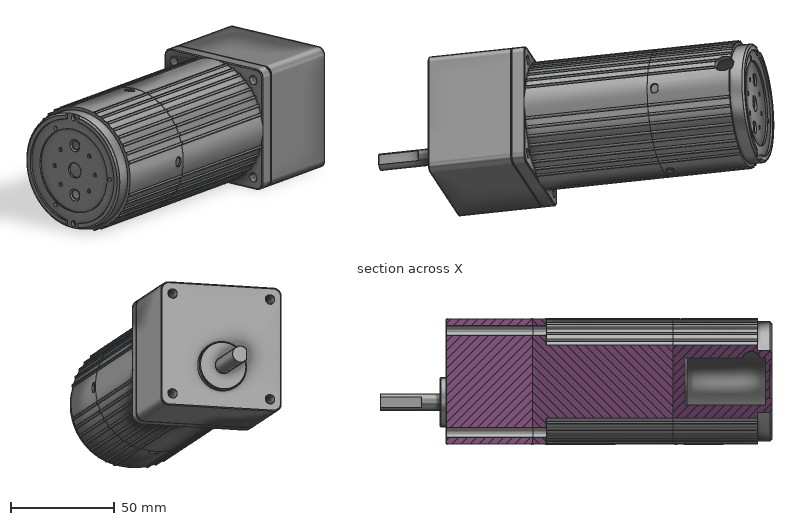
import cadquery as cq
import math


frame_size = 61.0
corner_radius = 4.0
edge_chamfer = 0.5
mount_hole_offset = 24.7
mount_hole_diameter = 4.5

gearhead_length = 42.0
shaft_offset = 10.0
shaft_diameter = 8.0
shaft_length = 32.0
shaft_flat_length = 20.0
shaft_flat_depth = 1.0
boss_diameter = 24.0
boss_length = 3.0
boss_chamfer = 0.5

flange_length = 6.6
flange_chamfer = 0.5
body_diameter = frame_size
motor_length = 68.0
brake_length = 41.0
rib_diameter = 1.3
rib_pitch = 8.4
ribs_per_quadrant = 8

cap_length = 7.0
cap_diameter = 58.0
cap_chamfer = 1.0
rim_inner_diameter = 52.0
rim_height = 1.1
rim_slot_width = 7.6
rim_hole_offset = 26.8
rim_hole_diameter = 2.8
rim_hole_depth = 1.9
recess_diameter = 41.8
recess_depth = 1.0
cavity_diameter = 54.3
end_wall = 1.1
front_wall = 5.9
inner_disc_diameter = 44.8
inner_disc_height = 1.0
centre_hole_diameter = 7.6
bolt_circle_radius = 12.5
large_hole_diameter = 4.5
large_hole_chamfer = 0.8
small_hole_diameter = 1.9
outer_circle_radius = 22.5

wire_hole_diameter = 9.0
wire_hole_height = 10.0
wire_hole_setback = 3.0
pocket_length = 5.0
pocket_width = 3.6
pocket_depth = 1.0
pocket_setback = 3.6

flange_front = -gearhead_length
brake_front = flange_front - motor_length
fins_end = brake_front - brake_length
cap_end = fins_end - cap_length
recess_floor = cap_end + rim_height + recess_depth


def rod(diameter, y_front, length, x=0, z=0):
    """Cylinder along Y that runs from y_front towards -Y."""
    start = cq.Vector(x, y_front, z)
    return cq.Workplane(cq.Solid.makeCylinder(diameter / 2, length, start, cq.Vector(0, -1, 0)))


def frame_block(y_front, length):
    """Square block with rounded corners that runs from y_front towards -Y."""
    profile = cq.Workplane("XZ", origin=(0, y_front, 0)).rect(frame_size, frame_size)
    return profile.extrude(length).edges("|Y").fillet(corner_radius)


def drill_mount_holes(body, y_front, length):
    for x in (-mount_hole_offset, mount_hole_offset):
        for z in (-mount_hole_offset, mount_hole_offset):
            body = body.cut(rod(mount_hole_diameter, y_front, length, x, z))
    return body


def ribbed_body(y_front, length):
    """Round housing with lengthwise half-round cooling ribs in each quadrant."""
    body = rod(body_diameter, y_front, length)
    first_angle = 45 - rib_pitch * (ribs_per_quadrant - 1) / 2
    for quadrant in range(4):
        for index in range(ribs_per_quadrant):
            angle = math.radians(90 * quadrant + first_angle + rib_pitch * index)
            x = body_diameter / 2 * math.cos(angle)
            z = body_diameter / 2 * math.sin(angle)
            body = body.union(rod(rib_diameter, y_front, length, x, z))
    return body


def make_gearhead():
    block = frame_block(0, gearhead_length).faces("<Y or >Y").chamfer(edge_chamfer)
    boss = rod(boss_diameter, boss_length, boss_length, z=-shaft_offset).faces(">Y").chamfer(boss_chamfer)
    shaft = rod(shaft_diameter, shaft_length, shaft_length, z=-shaft_offset)
    flat = cq.Workplane("XY").box(shaft_diameter, shaft_flat_length, shaft_diameter).translate(
        (shaft_flat_depth - shaft_diameter, shaft_length - shaft_flat_length / 2, -shaft_offset)
    )
    gearhead = block.union(boss).union(shaft.cut(flat))
    return drill_mount_holes(gearhead, 0, gearhead_length)


def make_motor():
    flange = frame_block(flange_front, flange_length).faces("<Y").chamfer(flange_chamfer)
    flange = drill_mount_holes(flange, flange_front, flange_length)
    housing_front = flange_front - flange_length / 2
    return flange.union(ribbed_body(housing_front, motor_length - flange_length / 2))


def cut_rim(brake):
    """Raised rim with two slots, around the stepped end face."""
    brake = brake.cut(rod(rim_inner_diameter, cap_end + rim_height, rim_height))
    slots = cq.Workplane("XY").box(rim_slot_width, rim_height, body_diameter)
    brake = brake.cut(slots.translate((0, cap_end + rim_height / 2, 0)))
    for z in (-rim_hole_offset, rim_hole_offset):
        hole_front = cap_end + rim_height + rim_hole_depth
        brake = brake.cut(rod(rim_hole_diameter, hole_front, rim_hole_depth, z=z))
    return brake.cut(rod(recess_diameter, recess_floor, recess_depth))


def drill_end_wall(brake):
    wall_front = recess_floor + end_wall
    depth = wall_front - cap_end
    brake = brake.cut(rod(centre_hole_diameter, wall_front, depth))
    for index in range(8):
        angle = math.radians(45 * index)
        x = bolt_circle_radius * math.cos(angle)
        z = bolt_circle_radius * math.sin(angle)
        if index in (2, 6):
            brake = brake.cut(rod(large_hole_diameter, wall_front, depth, x, z))
            cone = cq.Solid.makeCone(
                large_hole_diameter / 2,
                large_hole_diameter / 2 + large_hole_chamfer,
                large_hole_chamfer,
                cq.Vector(x, recess_floor + large_hole_chamfer, z),
                cq.Vector(0, -1, 0),
            )
            brake = brake.cut(cq.Workplane(cone))
        else:
            brake = brake.cut(rod(small_hole_diameter, wall_front, depth, x, z))
    for index in range(3):
        angle = math.radians(120 * index)
        x = outer_circle_radius * math.cos(angle)
        z = outer_circle_radius * math.sin(angle)
        brake = brake.cut(rod(small_hole_diameter, wall_front, depth, x, z))
    return brake


def cut_side_openings(brake):
    wire_hole = cq.Workplane("YZ", origin=(0, fins_end + wire_hole_setback, wire_hole_height))
    brake = brake.cut(wire_hole.circle(wire_hole_diameter / 2).extrude(-body_diameter))
    pocket_y = brake_front - pocket_setback
    pocket = cq.Workplane("XY", origin=(0, pocket_y, frame_size / 2 - pocket_depth))
    pocket = pocket.slot2D(pocket_length, pocket_width).extrude(body_diameter)
    for angle in (0, 90, 180, 270):
        brake = brake.cut(pocket.rotate((0, 0, 0), (0, 1, 0), angle))
    return brake


def make_brake():
    cap = rod(cap_diameter, fins_end, cap_length).faces("<Y").chamfer(cap_chamfer)
    brake = ribbed_body(brake_front, brake_length).union(cap)
    cavity_front = brake_front - front_wall
    cavity = rod(cavity_diameter, cavity_front, cavity_front - recess_floor - end_wall)
    inner_disc = rod(inner_disc_diameter, cavity_front, inner_disc_height)
    brake = brake.cut(cavity.cut(inner_disc))
    return cut_side_openings(drill_end_wall(cut_rim(brake)))


gearhead = make_gearhead()
motor = make_motor()
brake = make_brake()

result = cq.Compound.makeCompound([gearhead.val(), motor.val(), brake.val()])